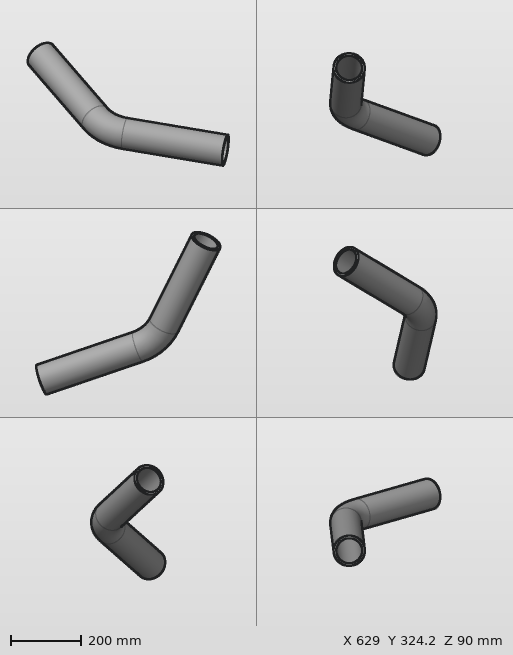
import cadquery as cq
import math

outer_diameter = 90.0
inner_diameter = 73.5

overall_length = 629.0
bend_radius = 1.5 * outer_diameter
bend_angle = 45.0
angle = math.radians(bend_angle)

bend_and_rim_span = (bend_radius + outer_diameter / 2) * math.sin(angle)
leg_length = (overall_length - bend_and_rim_span) / (1 + math.cos(angle))


def straight_leg(start_plane):
    """Straight tube extruded along the normal of the start plane."""
    return (
        cq.Workplane(start_plane)
        .circle(outer_diameter / 2)
        .circle(inner_diameter / 2)
        .extrude(leg_length)
    )


def bend(start_plane):
    """Tube revolved about a vertical axis on its +Y side."""
    return (
        cq.Workplane(start_plane)
        .circle(outer_diameter / 2)
        .circle(inner_diameter / 2)
        .revolve(bend_angle, (bend_radius, 0), (bend_radius, 1))
    )


inlet_plane = cq.Plane(origin=(0, 0, 0), xDir=(0, 1, 0), normal=(1, 0, 0))
bend_start_plane = cq.Plane(origin=(leg_length, 0, 0), xDir=(0, 1, 0), normal=(1, 0, 0))

bend_end = (
    leg_length + bend_radius * math.sin(angle),
    bend_radius * (1 - math.cos(angle)),
    0,
)
bend_end_plane = cq.Plane(
    origin=bend_end,
    xDir=(-math.sin(angle), math.cos(angle), 0),
    normal=(math.cos(angle), math.sin(angle), 0),
)

result = (
    straight_leg(inlet_plane)
    .union(bend(bend_start_plane))
    .union(straight_leg(bend_end_plane))
)